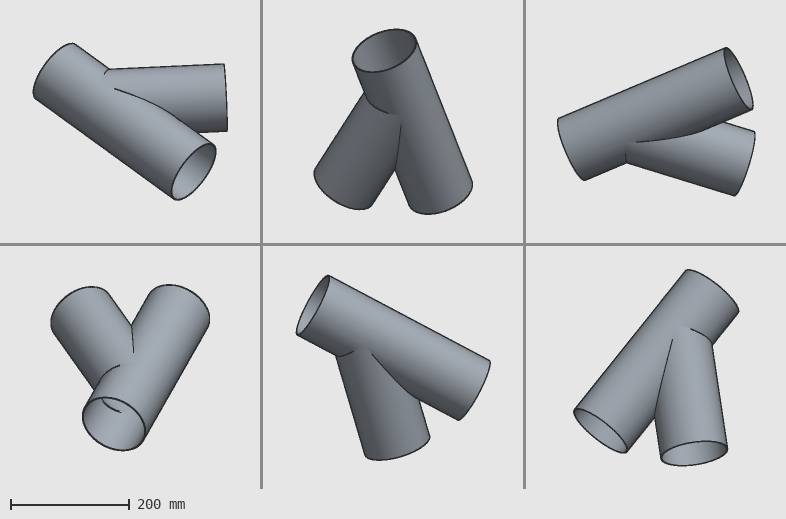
import cadquery as cq

outer_diameter = 114.2
inner_diameter = 110.5
run_length = 312.0
short_leg = 99.0
branch_angle = 45.0

branch_length = run_length - short_leg


def run_cylinder(diameter):
    """Cylinder along X over the full length of the run."""
    return cq.Workplane("YZ", origin=(-short_leg, 0, 0)).circle(diameter / 2).extrude(run_length)


def branch_cylinder(diameter):
    """Cylinder from the axis crossing out to the open end of the branch."""
    along_x = cq.Workplane("YZ").circle(diameter / 2).extrude(branch_length)
    return along_x.rotate((0, 0, 0), (0, 0, 1), branch_angle)


def branched_body(diameter):
    """Run and branch cylinders of one diameter joined together."""
    return run_cylinder(diameter).union(branch_cylinder(diameter))


result = branched_body(outer_diameter).cut(branched_body(inner_diameter))